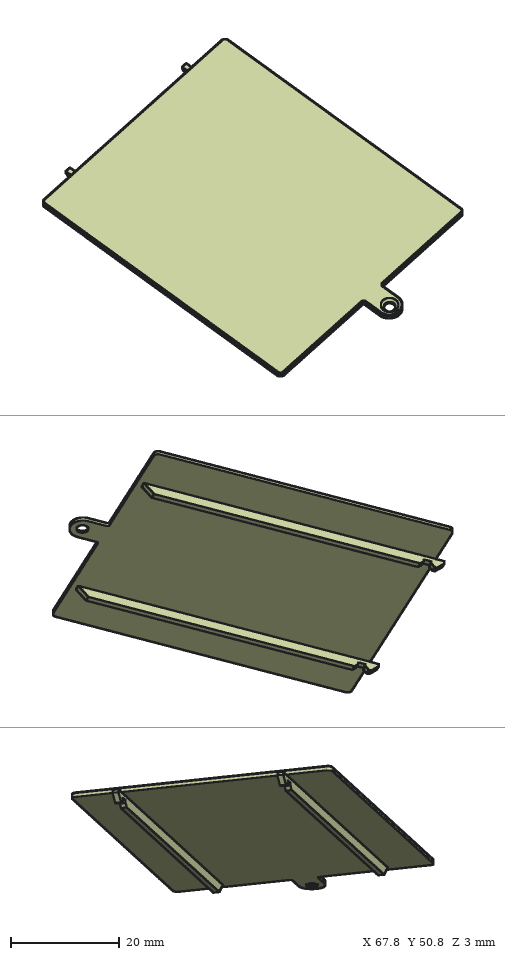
import cadquery as cq

total_length = 67.85
plate_width = 50.8
plate_thickness = 0.95
rim_chamfer = 0.2
corner_radius = 0.9
plate_start = 1.7
plate_end = 61.25

tab_width = 5.0
tab_radius = tab_width / 2
tab_centre = total_length - tab_radius
hole_centre = 65.45
tab_root_fillet = 0.35
hole_diameter = 2.2
countersink_diameter = 3.25
countersink_angle = 90

rail_height = 2.05
rail_width = 1.15
rail_centre_y = 16.1
rail_end = 60.0
hook_face_height = 0.55
hook_tip_end = 2.0
notch_start = 2.65
notch_end = 4.15
notch_roof_depth = 0.9


def make_plate():
    """Rounded cover plate and its tab, chamfered together around the top rim."""
    plate_length = plate_end - plate_start
    panel = (
        cq.Workplane("XY")
        .box(plate_length, plate_width, plate_thickness, centered=(False, True, False))
        .translate((plate_start, 0, 0))
        .edges("|Z")
        .fillet(corner_radius)
    )
    tab_root = plate_end - tab_radius
    tab = (
        cq.Workplane("XY")
        .moveTo(tab_root, -tab_radius)
        .lineTo(tab_centre, -tab_radius)
        .threePointArc((total_length, 0), (tab_centre, tab_radius))
        .lineTo(tab_root, tab_radius)
        .close()
        .extrude(plate_thickness)
    )
    root_corners = cq.selectors.BoxSelector(
        (plate_end - rim_chamfer, -tab_width, 0),
        (plate_end + rim_chamfer, tab_width, plate_thickness),
    )
    plate = panel.union(tab).edges("|Z").edges(root_corners).fillet(tab_root_fillet)
    plate = plate.faces(">Z").edges().chamfer(rim_chamfer)
    return (
        plate.faces(">Z")
        .workplane(origin=(hole_centre, 0, plate_thickness))
        .cskHole(hole_diameter, countersink_diameter, countersink_angle)
    )


def make_rail(centre_y):
    """Rail below the plate, with a snap hook at one end and 45 degree slopes."""
    hook_tip_start = rail_height - hook_face_height
    notch_side_depth = rail_height - (notch_start - hook_tip_end)
    outline = [
        (0, 0),
        (0, -hook_face_height),
        (hook_tip_start, -rail_height),
        (hook_tip_end, -rail_height),
        (notch_start, -notch_side_depth),
        (notch_start, -notch_roof_depth),
        (notch_end, -notch_roof_depth),
        (notch_end, -notch_side_depth),
        (notch_end + rail_height - notch_side_depth, -rail_height),
        (rail_end - rail_height, -rail_height),
        (rail_end, 0),
    ]
    rail = cq.Workplane("XZ").polyline(outline).close().extrude(rail_width / 2, both=True)
    return rail.translate((0, centre_y, 0))


result = make_plate()
for side in (-1, 1):
    result = result.union(make_rail(side * rail_centre_y))